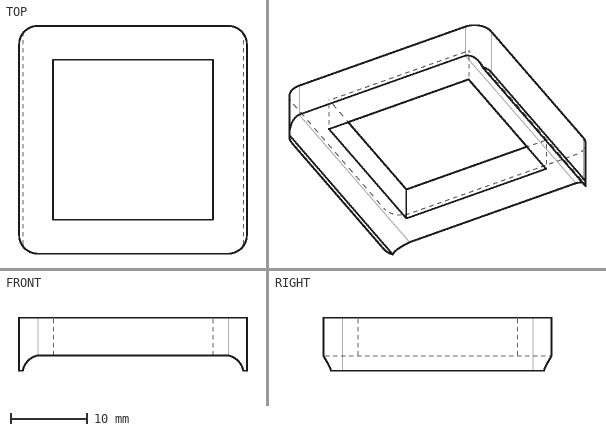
import cadquery as cq

side = 30.0
height = 7.0
corner_radius = 2.5
window_side = 21.0
channel_depth = 2.0
lip_width = 0.5
channel_arc_radius = corner_radius

frame = cq.Workplane("XY").rect(side, side).extrude(height).edges("|Z").fillet(corner_radius)
window = cq.Workplane("XY").rect(window_side, window_side).extrude(height)


def underside_channel():
    """Channel running through along Y, its flat roof meeting the feet in outward-bulging arcs."""
    half_width = side / 2 - lip_width
    half_flat = side / 2 - corner_radius
    return (
        cq.Workplane("XZ")
        .moveTo(-half_width, 0)
        .radiusArc((-half_flat, channel_depth), channel_arc_radius)
        .lineTo(half_flat, channel_depth)
        .radiusArc((half_width, 0), channel_arc_radius)
        .close()
        .extrude(side / 2, both=True)
    )


result = frame.cut(window).cut(underside_channel())